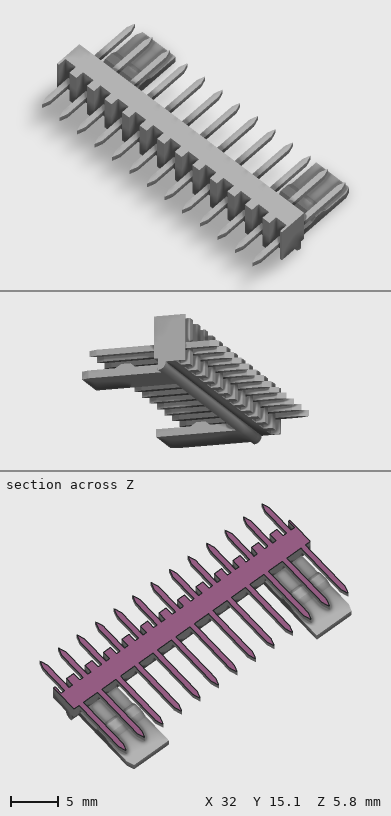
import cadquery as cq

pin_count = 13
pitch = 2.5
pin_size = 0.64
pin_tip_length = 0.9
pin_tip_width = 0.04
pin_rear_length = 7.4
pin_front_length = 3.4
pin_height = 3.2

end_margin = 1.0
body_length = (pin_count - 1) * pitch + 2 * end_margin
body_depth = 3.4
body_height = 4.95
pocket_width = 1.5
pocket_depth = 1.0

lip_drop = 0.85
step_depth = 0.45
step_height = 0.4

tab_width = 2 * pitch
tab_reach = 8.3
tab_thickness = 0.85
tab_corner_width = 0.3
tab_corner_length = 0.8

bump_height = 0.4
bump_start = 3.75
bump_top_start = 4.4
bump_top_end = 5.4
bump_end = 5.9

first_pin_x = -(pin_count - 1) * pitch / 2
pin_x_positions = [first_pin_x + i * pitch for i in range(pin_count)]
pin_z = body_height - pin_height


def make_body():
    """Body profile with its rounded lip and rear step, extruded along X."""
    lip_bend = lip_drop * 0.5 ** 0.5
    profile = (
        cq.Workplane("YZ", origin=(-body_length / 2, 0, 0))
        .moveTo(0, body_height)
        .lineTo(0, step_height)
        .lineTo(-step_depth, step_height)
        .lineTo(-step_depth, -lip_drop)
        .threePointArc(
            (-step_depth - lip_bend, -lip_bend),
            (-step_depth - lip_drop, 0),
        )
        .lineTo(-body_depth, 0)
        .lineTo(-body_depth, body_height)
        .close()
    )
    return profile.extrude(body_length)


def make_pocket(x):
    """Open vertical pocket in the front face around one pin."""
    return cq.Workplane("XY").box(
        pocket_width, pocket_depth, body_height, centered=(True, False, False)
    ).translate((x, -body_depth, 0))


def make_pin(x):
    """Square pin whose ends taper in plan only."""
    rear = pin_rear_length
    front = -body_depth - pin_front_length
    half = pin_size / 2
    half_tip = pin_tip_width / 2
    outline = [
        (-half_tip, rear),
        (half_tip, rear),
        (half, rear - pin_tip_length),
        (half, front + pin_tip_length),
        (half_tip, front),
        (-half_tip, front),
        (-half, front + pin_tip_length),
        (-half, rear - pin_tip_length),
    ]
    pin = cq.Workplane("XY").polyline(outline).close().extrude(half, both=True)
    return pin.translate((x, 0, pin_z))


def make_right_tab():
    """Tab at the +X end, with a latch bump and a cut outer corner."""
    outer_x = pin_x_positions[-1]
    inner_x = outer_x - tab_width
    bottom = -lip_drop
    top = bottom + tab_thickness
    side_profile = [
        (-step_depth, bottom),
        (tab_reach, bottom),
        (tab_reach, top),
        (tab_reach - bump_start, top),
        (tab_reach - bump_top_start, top + bump_height),
        (tab_reach - bump_top_end, top + bump_height),
        (tab_reach - bump_end, top),
        (-step_depth, top),
    ]
    tab = (
        cq.Workplane("YZ", origin=(inner_x, 0, 0))
        .polyline(side_profile)
        .close()
        .extrude(tab_width)
    )
    corner = (
        cq.Workplane("XY", origin=(0, 0, bottom))
        .moveTo(outer_x, tab_reach)
        .lineTo(outer_x - tab_corner_width, tab_reach)
        .lineTo(outer_x, tab_reach - tab_corner_length)
        .close()
        .extrude(tab_thickness)
    )
    return tab.cut(corner)


result = make_body()
for pin_x in pin_x_positions:
    result = result.cut(make_pocket(pin_x))

right_tab = make_right_tab()
result = result.union(right_tab).union(right_tab.mirror("YZ"))

for pin_x in pin_x_positions:
    result = result.union(make_pin(pin_x))